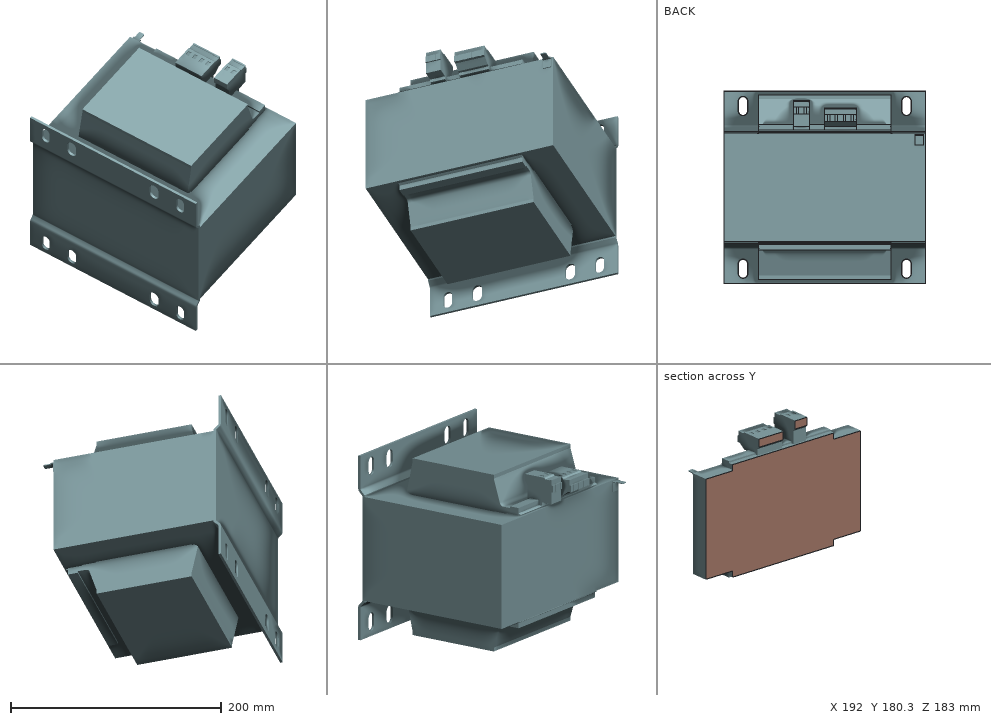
import cadquery as cq
import math

CORE_WIDTH = 192.0
CORE_DEPTH = 160.1
CORE_HEIGHT = 103.3
LEG_WIDTH = CORE_WIDTH / 6
WINDOW_LENGTH = CORE_DEPTH - 2 * LEG_WIDTH

PLATE_HEIGHT = 183.0
SHEET = 2.5
PLATE_DEPTH = 7.3
BEND_RADIUS = 4.8
BEND_ANGLE = 45
INNER_BEND_RADIUS = 1.2
FLANGE_START_Z = 59.1
SLOT_Z = 77.4
SLOT_LENGTH = 17.9
OUTER_SLOT_X, OUTER_SLOT_WIDTH = 77.8, 8.8
INNER_SLOT_X, INNER_SLOT_WIDTH = 47.6, 10.0

COIL_WIDTH = 126.0
COIL_TOP_Z = 87.7
COIL_TOP_FRONT_Y, COIL_TOP_BACK_Y = 40.0, 134.8
COIL_BAND = 3.8
COIL_FRONT_Y = 33.6
COIL_FRONT_FOOT_Z = 54.5
COIL_FOOT_CHAMFER = 2.0
COIL_CLEARANCE = 0.8
COIL_SEAT_FRONT_Y, COIL_SEAT_BACK_Y = 36.5, 149.4
LEDGE_Z = 58.0
LEDGE_CORNER_Y = 142.8
LEDGE_FILLET = 4.2
RAIL_TOP_Z = 59.7
RAIL_FRONT_Y, RAIL_BACK_Y = 153.8, 163.5
LIP_BACK_Y = 166.0
LIP_BOTTOM_Z, LIP_TOP_Z = 53.2, 54.5

TERMINAL_WIDTH = 15.2
LOW_TERMINALS_X = (-22.5, -7.3)
HIGH_TERMINAL_X = 22.3
LOW_TERMINAL_TOP_Z = 75.6
HIGH_TERMINAL_TOP_Z = 82.8
TERMINAL_FRONT_Y, TERMINAL_BACK_Y = 147.6, 178.8
TERMINAL_NOSE_HEIGHT = 6.7
TERMINAL_NECK_Y = 150.5
TERMINAL_NECK_DROP = 11.0
TOP_STEP_Y = 170.0
TOP_STEP = 1.3
RIDGE_WIDTH, RIDGE_HEIGHT = 1.7, 0.4
PANEL_Y = 180.3
PANEL_TOP_DROP, PANEL_BOTTOM_DROP = 6.1, 12.9
UNDERCUT_Y = 170.5
CLIP_Y, CLIP_BOTTOM_Z = 167.6, 54.7
CONTACT_SPACING = 7.3
CONTACT_WIDTH, CONTACT_LENGTH, CONTACT_DEPTH = 3.5, 5.0, 0.8
CONTACT_Y = 164.2
WIRE_NOTCH_WIDTH, WIRE_NOTCH_DEPTH = 2.3, 0.4

TAB_X = -90.0
TAB_SHEET = 1.0
TAB_TOP_Z = 50.3
TAB_LEG_BOTTOM_Z = 40.1
TAB_BASE_WIDTH, TAB_BASE_Y = 8.3, 170.7
TAB_BLADE_WIDTH, TAB_BLADE_Y = 5.8, 178.8
TAB_TIP_CHAMFER = 0.8

CORE_BACK_Y = PLATE_DEPTH + CORE_DEPTH
CORE_TOP_Z = CORE_HEIGHT / 2


def box(x_center, width, y_start, y_end, z_start, z_end):
    """Box centred on x_center that spans the given Y and Z ranges."""
    block = cq.Workplane("XY").box(
        width, y_end - y_start, z_end - z_start, centered=(True, False, False)
    )
    return block.translate((x_center, y_start, z_start))


def extrude_across(points, width, x_center=0.0):
    """Extrude a closed (y, z) outline along X, centred on x_center."""
    profile = cq.Workplane("YZ").polyline(points).close()
    return profile.extrude(width / 2, both=True).translate((x_center, 0, 0))


def fillet_at(body, y, z, radius):
    """Round the edge running along X at (y, z)."""
    return body.edges(cq.selectors.NearestToPointSelector((0, y, z))).fillet(radius)


def both_ends(upper):
    """Join a body with its mirror image below the mid-height plane."""
    return upper.union(upper.mirror("XY"))


def make_core():
    core = box(0, CORE_WIDTH, PLATE_DEPTH, CORE_BACK_Y, -CORE_TOP_Z, CORE_TOP_Z)
    window_edge = CORE_WIDTH / 2 - LEG_WIDTH
    gap_width = window_edge - COIL_WIDTH / 2
    window_front = PLATE_DEPTH + LEG_WIDTH
    for side in (-1, 1):
        gap_x = side * (window_edge - gap_width / 2)
        core = core.cut(
            box(gap_x, gap_width, window_front, window_front + WINDOW_LENGTH, -CORE_TOP_Z, CORE_TOP_Z)
        )
    return core


def make_plate():
    step = PLATE_DEPTH - SHEET
    setback_ratio = math.tan(math.radians(BEND_ANGLE / 2))
    corner_z = FLANGE_START_Z - BEND_RADIUS * setback_ratio
    back_corner_z = corner_z + SHEET * setback_ratio
    rise = step / math.tan(math.radians(BEND_ANGLE))
    edge_z = PLATE_HEIGHT / 2
    flange = extrude_across(
        [
            (step, 0),
            (step, corner_z - rise),
            (0, corner_z),
            (0, edge_z),
            (SHEET, edge_z),
            (SHEET, back_corner_z),
            (PLATE_DEPTH, back_corner_z - rise),
            (PLATE_DEPTH, 0),
        ],
        CORE_WIDTH,
    )
    flange = fillet_at(flange, 0, corner_z, BEND_RADIUS)
    flange = fillet_at(flange, SHEET, back_corner_z, BEND_RADIUS - SHEET)
    flange = fillet_at(flange, step, corner_z - rise, INNER_BEND_RADIUS)
    for slot_x, slot_width in ((OUTER_SLOT_X, OUTER_SLOT_WIDTH), (INNER_SLOT_X, INNER_SLOT_WIDTH)):
        slots = (
            cq.Workplane("XZ")
            .pushPoints([(-slot_x, SLOT_Z), (slot_x, SLOT_Z)])
            .slot2D(SLOT_LENGTH, slot_width, 90)
            .extrude(-SHEET)
        )
        flange = flange.cut(slots)
    return both_ends(flange)


def make_coil_cover():
    seat_z = CORE_TOP_Z + COIL_CLEARANCE
    band_z = COIL_TOP_Z - COIL_BAND
    cover = extrude_across(
        [
            (COIL_SEAT_FRONT_Y, CORE_TOP_Z),
            (COIL_SEAT_FRONT_Y, seat_z),
            (COIL_FRONT_Y + COIL_FOOT_CHAMFER, seat_z),
            (COIL_FRONT_Y, COIL_FRONT_FOOT_Z),
            (COIL_TOP_FRONT_Y, band_z),
            (COIL_TOP_FRONT_Y, COIL_TOP_Z),
            (COIL_TOP_BACK_Y, COIL_TOP_Z),
            (COIL_TOP_BACK_Y, band_z),
            (LEDGE_CORNER_Y, LEDGE_Z),
            (RAIL_FRONT_Y, LEDGE_Z),
            (RAIL_FRONT_Y, RAIL_TOP_Z),
            (RAIL_BACK_Y, RAIL_TOP_Z),
            (RAIL_BACK_Y, LIP_TOP_Z),
            (LIP_BACK_Y, LIP_BOTTOM_Z),
            (RAIL_BACK_Y, LIP_BOTTOM_Z),
            (RAIL_BACK_Y, seat_z),
            (COIL_SEAT_BACK_Y, seat_z),
            (COIL_SEAT_BACK_Y, CORE_TOP_Z),
        ],
        COIL_WIDTH,
    )
    return both_ends(fillet_at(cover, LEDGE_CORNER_Y, LEDGE_Z, LEDGE_FILLET))


def make_terminal(x_center, top_z):
    shelf_z = top_z - TOP_STEP
    ridge_y = TERMINAL_BACK_Y - RIDGE_WIDTH
    ridge_z = shelf_z + RIDGE_HEIGHT
    panel_top_z = top_z - PANEL_TOP_DROP
    panel_bottom_z = top_z - PANEL_BOTTOM_DROP
    housing = extrude_across(
        [
            (TERMINAL_NECK_Y, LEDGE_Z),
            (TERMINAL_NECK_Y, top_z - TERMINAL_NECK_DROP),
            (TERMINAL_FRONT_Y, top_z - TERMINAL_NOSE_HEIGHT),
            (TERMINAL_FRONT_Y, top_z),
            (TOP_STEP_Y, top_z),
            (TOP_STEP_Y + TOP_STEP, shelf_z),
            (ridge_y, shelf_z),
            (ridge_y, ridge_z),
            (TERMINAL_BACK_Y, ridge_z),
            (TERMINAL_BACK_Y, panel_top_z),
            (PANEL_Y, panel_top_z),
            (PANEL_Y, panel_bottom_z),
            (ridge_y, panel_bottom_z),
            (UNDERCUT_Y, LEDGE_Z),
        ],
        TERMINAL_WIDTH,
        x_center,
    )

    clip = box(x_center, TERMINAL_WIDTH, RAIL_BACK_Y, CLIP_Y, CLIP_BOTTOM_Z, LEDGE_Z)
    terminal = housing.union(clip)

    for side in (-1, 1):
        contact_x = x_center + side * CONTACT_SPACING / 2
        contact = box(
            contact_x,
            CONTACT_WIDTH,
            CONTACT_Y - CONTACT_LENGTH / 2,
            CONTACT_Y + CONTACT_LENGTH / 2,
            top_z - CONTACT_DEPTH,
            top_z,
        )
        wire_notch = box(
            contact_x, WIRE_NOTCH_WIDTH, PANEL_Y - WIRE_NOTCH_DEPTH, PANEL_Y, panel_bottom_z, panel_top_z
        )
        terminal = terminal.cut(contact).cut(wire_notch)
    return terminal


def make_high_terminal():
    terminal = make_terminal(HIGH_TERMINAL_X, HIGH_TERMINAL_TOP_Z)
    pedestal_top_z = HIGH_TERMINAL_TOP_Z - PANEL_BOTTOM_DROP
    pedestal = box(
        HIGH_TERMINAL_X, TERMINAL_WIDTH, TERMINAL_NECK_Y, TERMINAL_BACK_Y, LEDGE_Z, pedestal_top_z
    )
    return terminal.union(pedestal)


def make_earth_tab():
    tab_bottom_z = TAB_TOP_Z - TAB_SHEET
    leg = box(TAB_X, TAB_BASE_WIDTH, CORE_BACK_Y, CORE_BACK_Y + TAB_SHEET, TAB_LEG_BOTTOM_Z, TAB_TOP_Z)
    base = box(TAB_X, TAB_BASE_WIDTH, CORE_BACK_Y, TAB_BASE_Y, tab_bottom_z, TAB_TOP_Z)
    blade = box(TAB_X, TAB_BLADE_WIDTH, TAB_BASE_Y, TAB_BLADE_Y, tab_bottom_z, TAB_TOP_Z)
    blade = blade.faces(">Y").edges("|Z").chamfer(TAB_TIP_CHAMFER)
    return leg.union(base).union(blade)


result = make_core().union(make_plate()).union(make_coil_cover())
for terminal_x in LOW_TERMINALS_X:
    result = result.union(make_terminal(terminal_x, LOW_TERMINAL_TOP_Z))
result = result.union(make_high_terminal()).union(make_earth_tab())